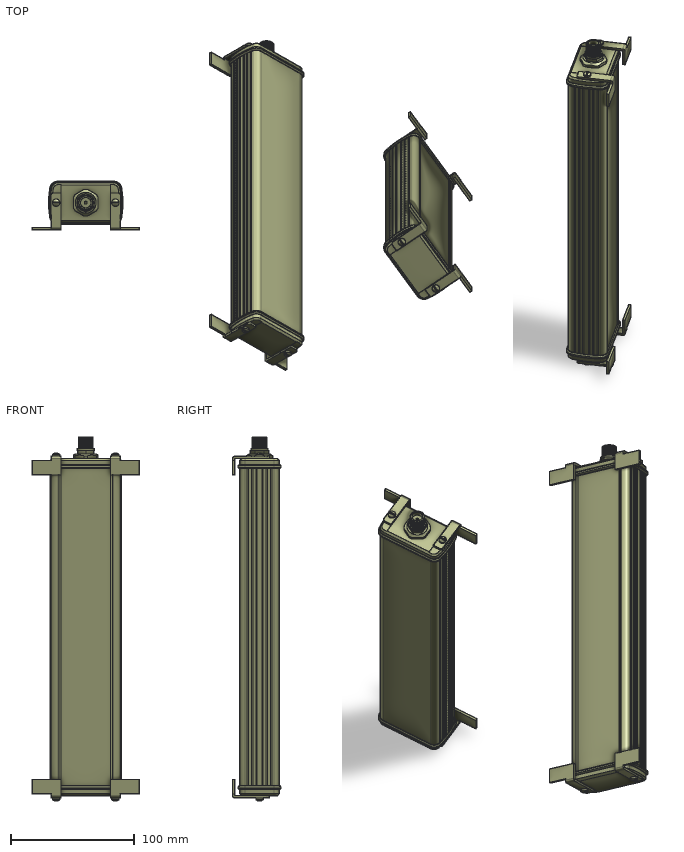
import cadquery as cq
import math

TOTAL_DEPTH = 39.3
TOTAL_HEIGHT = 293.99

BODY_HALF_Y = 16.0
CORNER_HALF_X = 26.5
SIDE_HALF_X = 28.7
CORNER_RADIUS = 5.3

CAP_END_Z = 136.2
CAP_HEIGHT = 8.3
RIM_HEIGHT = 3.3
RIM_OVERHANG = 1.4
RIM_BEVEL = 1.0
CAP_EDGE_CHAMFER = 1.7
TUBE_HALF_LENGTH = CAP_END_Z - CAP_HEIGHT

RIB_GROOVE_PITCH = 3.5
RIB_GROOVES_PER_QUARTER = 3
FIRST_GROOVE_Y = 2.4
RIB_GROOVE_WIDTH = 1.1
RIB_GROOVE_DEPTH = 0.8
WINDOW_HALF_X = 19.9
WINDOW_LIP_WIDTH = 1.7
WINDOW_RECESS = 0.4

BRACKET_THICKNESS = 2.0
BRACKET_INNER_X = WINDOW_HALF_X
BRACKET_ARM_WIDTH = 8.0
BRACKET_BACK_Y = 8.0
BRACKET_FRONT_Y = BODY_HALF_Y + RIM_OVERHANG - TOTAL_DEPTH
BRACKET_BEND_RADIUS = 2.0
BRACKET_CORNER_RADIUS = 2.0
BRACKET_DROP = 15.0
WING_TIP_X = 43.25
WING_TOP_DROP = 3.3
BRACKET_SEAT_DEPTH = 0.3

SCREW_X = BRACKET_INNER_X + BRACKET_ARM_WIDTH / 2
SCREW_RADIUS = 3.0
SCREW_HEIGHT = 2.6
SCREW_SHOULDER = 1.3
SCREW_SLOT_WIDTH = 0.8
SCREW_SLOT_DEPTH = 1.0

ARM_INNER_Z = CAP_END_Z - BRACKET_SEAT_DEPTH
ARM_OUTER_Z = ARM_INNER_Z + BRACKET_THICKNESS

GLAND_TOP_Z = TOTAL_HEIGHT - (ARM_OUTER_Z + SCREW_HEIGHT)
BASE_FLATS = 20.0
BASE_ROUND_RADIUS = 10.8
BASE_HEIGHT = 3.6
BASE_CROWN_HEIGHT = 1.6
BASE_CROWN_RADIUS = 8.4
NUT_FLATS = 13.0
NUT_HEIGHT = 2.6
COLLAR_RADIUS = 6.9
COLLAR_HEIGHT = 1.8
CROWN_RADIUS = 5.9
CROWN_EDGE_CHAMFER = 0.5
BORE_RADIUS = 4.2
BORE_DEPTH = 4.0
WIRE_HOLE_RADIUS = 1.2
WIRE_HOLE_DEPTH = 8.0
FLUTE_COUNT = 24
FLUTE_RADIUS = 0.4


def profile(half_y, corner_x, side_x, corner_radius, height):
    """Rounded block with flat front and back and bowed sides, standing on Z = 0."""
    block = (
        cq.Workplane("XY")
        .moveTo(-corner_x, -half_y)
        .lineTo(corner_x, -half_y)
        .threePointArc((side_x, 0), (corner_x, half_y))
        .lineTo(-corner_x, half_y)
        .threePointArc((-side_x, 0), (-corner_x, -half_y))
        .close()
        .extrude(height)
    )
    return block.edges("|Z").fillet(corner_radius)


def body_profile(height, growth=0.0):
    return profile(
        BODY_HALF_Y + growth,
        CORNER_HALF_X + growth,
        SIDE_HALF_X + growth,
        CORNER_RADIUS + growth,
        height,
    )


def side_half_x(y):
    """Half width of the housing where its bowed side passes Y = y."""
    sagitta = SIDE_HALF_X - CORNER_HALF_X
    radius = (BODY_HALF_Y**2 + sagitta**2) / (2 * sagitta)
    return SIDE_HALF_X - radius + math.sqrt(radius**2 - y**2)


def make_housing():
    length = 2 * TUBE_HALF_LENGTH
    housing = body_profile(length).translate((0, 0, -TUBE_HALF_LENGTH))

    for index in range(RIB_GROOVES_PER_QUARTER):
        y = FIRST_GROOVE_Y + index * RIB_GROOVE_PITCH
        x = side_half_x(y)
        for groove_x, groove_y in ((x, y), (x, -y), (-x, y), (-x, -y)):
            groove = cq.Workplane("XY").box(2 * RIB_GROOVE_DEPTH, RIB_GROOVE_WIDTH, length)
            housing = housing.cut(groove.translate((groove_x, groove_y, 0)))

    for step, half_x in enumerate((WINDOW_HALF_X + WINDOW_LIP_WIDTH, WINDOW_HALF_X), start=1):
        recess = cq.Workplane("XY").box(2 * half_x, 2 * step * WINDOW_RECESS, length)
        housing = housing.cut(recess.translate((0, -BODY_HALF_Y, 0)))
    return housing


def make_cap():
    """Upper end cap with its rim and the two bracket channels."""
    cap = body_profile(CAP_HEIGHT).faces(">Z").edges().chamfer(CAP_EDGE_CHAMFER)
    rim = body_profile(RIM_HEIGHT, RIM_OVERHANG)
    rim = rim.faces("<Z or >Z").edges().chamfer(RIM_BEVEL)
    cap = cap.union(rim).translate((0, 0, TUBE_HALF_LENGTH))

    channel_width = SIDE_HALF_X - BRACKET_INNER_X
    for side in (-1, 1):
        channel = cq.Workplane("XY").box(
            channel_width, 2 * BODY_HALF_Y, 2 * BRACKET_SEAT_DEPTH
        )
        channel_x = side * (BRACKET_INNER_X + channel_width / 2)
        cap = cap.cut(channel.translate((channel_x, 0, CAP_END_Z)))
    return cap


def hexagon(across_flats, height):
    """Hexagonal prism on Z = 0 with two corners on the Y axis."""
    across_corners = across_flats / math.cos(math.pi / 6)
    prism = cq.Workplane("XY").polygon(6, across_corners).extrude(height)
    return prism.rotate((0, 0, 0), (0, 0, 1), 90)


def make_gland():
    """Cable gland standing on the upper cap."""
    envelope = (
        cq.Workplane("XZ")
        .lineTo(BASE_ROUND_RADIUS, 0)
        .lineTo(BASE_ROUND_RADIUS, BASE_HEIGHT - BASE_CROWN_HEIGHT)
        .lineTo(BASE_CROWN_RADIUS, BASE_HEIGHT)
        .lineTo(0, BASE_HEIGHT)
        .close()
        .revolve(360, (0, 0, 0), (0, 1, 0))
    )
    base = hexagon(BASE_FLATS, BASE_HEIGHT).intersect(envelope)
    nut = hexagon(NUT_FLATS, NUT_HEIGHT).translate((0, 0, BASE_HEIGHT))

    collar_z = BASE_HEIGHT + NUT_HEIGHT
    collar = cq.Workplane("XY").circle(COLLAR_RADIUS).extrude(COLLAR_HEIGHT)
    collar = collar.translate((0, 0, collar_z))

    crown_z = collar_z + COLLAR_HEIGHT
    gland_height = GLAND_TOP_Z - CAP_END_Z
    crown_height = gland_height - crown_z
    crown = cq.Workplane("XY").circle(CROWN_RADIUS).extrude(crown_height)
    crown = crown.faces(">Z").edges().chamfer(CROWN_EDGE_CHAMFER)
    flutes = (
        cq.Workplane("XY")
        .polarArray(CROWN_RADIUS, 0, 360, FLUTE_COUNT)
        .circle(FLUTE_RADIUS)
        .extrude(crown_height)
    )
    crown = crown.cut(flutes).translate((0, 0, crown_z))

    gland = base.union(nut).union(collar).union(crown)
    for radius, depth in ((BORE_RADIUS, BORE_DEPTH), (WIRE_HOLE_RADIUS, WIRE_HOLE_DEPTH)):
        hole = cq.Workplane("XY").circle(radius).extrude(depth)
        gland = gland.cut(hole.translate((0, 0, gland_height - depth)))
    return gland.translate((0, 0, CAP_END_Z))


def make_bracket():
    """Upper bracket on the +X side, with its screw head."""
    leg_end_z = ARM_OUTER_Z - BRACKET_DROP
    leg_inner_y = BRACKET_FRONT_Y + BRACKET_THICKNESS
    arm = (
        cq.Workplane("YZ")
        .moveTo(BRACKET_BACK_Y, ARM_INNER_Z)
        .lineTo(BRACKET_BACK_Y, ARM_OUTER_Z)
        .lineTo(BRACKET_FRONT_Y + BRACKET_BEND_RADIUS, ARM_OUTER_Z)
        .radiusArc((BRACKET_FRONT_Y, ARM_OUTER_Z - BRACKET_BEND_RADIUS), -BRACKET_BEND_RADIUS)
        .lineTo(BRACKET_FRONT_Y, leg_end_z)
        .lineTo(leg_inner_y, leg_end_z)
        .lineTo(leg_inner_y, ARM_INNER_Z)
        .close()
        .extrude(BRACKET_ARM_WIDTH)
        .translate((BRACKET_INNER_X, 0, 0))
    )
    arm = arm.edges("|Z and >X and >Y").fillet(BRACKET_CORNER_RADIUS)

    wing = cq.Workplane("XY").box(
        WING_TIP_X - BRACKET_INNER_X,
        BRACKET_THICKNESS,
        BRACKET_DROP - WING_TOP_DROP,
        centered=False,
    )
    wing = wing.translate((BRACKET_INNER_X, BRACKET_FRONT_Y, leg_end_z))

    dome_height = SCREW_HEIGHT - SCREW_SHOULDER
    dome_radius = (SCREW_RADIUS**2 + dome_height**2) / (2 * dome_height)
    head = (
        cq.Workplane("XZ")
        .lineTo(SCREW_RADIUS, 0)
        .lineTo(SCREW_RADIUS, SCREW_SHOULDER)
        .radiusArc((0, SCREW_HEIGHT), -dome_radius)
        .close()
        .revolve(360, (0, 0, 0), (0, 1, 0))
    )
    slot = cq.Workplane("XY").box(2 * SCREW_RADIUS, SCREW_SLOT_WIDTH, 2 * SCREW_SLOT_DEPTH)
    head = head.cut(slot.translate((0, 0, SCREW_HEIGHT)))
    return arm.union(wing).union(head.translate((SCREW_X, 0, ARM_OUTER_Z)))


housing = make_housing()
plain_cap = make_cap()
upper_cap = plain_cap.union(make_gland())
lower_cap = plain_cap.mirror("XY")

right_bracket = make_bracket()
brackets = []
for upper_bracket in (right_bracket, right_bracket.mirror("YZ")):
    brackets.append(upper_bracket)
    brackets.append(upper_bracket.mirror("XY"))

result = cq.Compound.makeCompound(
    [
        housing.val(),
        upper_cap.val(),
        lower_cap.val(),
        *[bracket.val() for bracket in brackets],
    ]
)